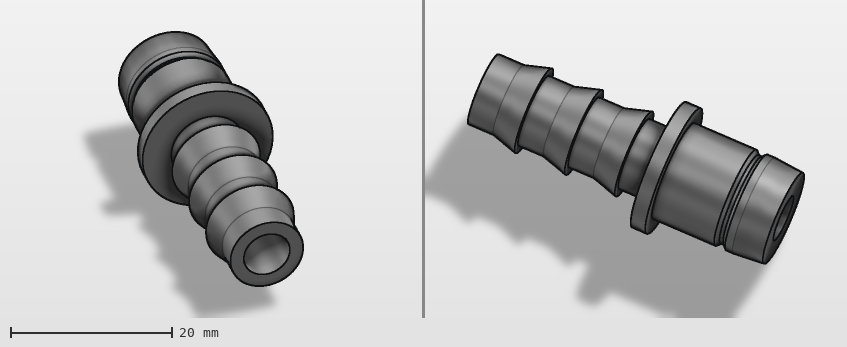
import cadquery as cq
import math


plug_diameter = 13.0
plug_length = 15.0
lead_in_length = 4.0
lead_in_angle = 5.0

groove_start = 5.0
groove_depth = 0.5
groove_floor_width = 0.5

flange_diameter = 17.0
flange_width = 2.0

total_length = 41.0
tail_diameter = 9.5
barb_diameter = 11.5
barb_count = 3

bore_diameter = 6.0

plug_radius = plug_diameter / 2
flange_radius = flange_diameter / 2
tail_radius = tail_diameter / 2
barb_radius = barb_diameter / 2
nose_radius = plug_radius - lead_in_length * math.tan(math.radians(lead_in_angle))

tail_start = plug_length + flange_width
tail_stretch = (total_length - tail_start) / (2 * barb_count + 1)


def plug_profile():
    """Outline of the plug as (x, radius) points, from the bore axis to the flange."""
    floor_radius = plug_radius - groove_depth
    floor_start = groove_start + groove_depth
    floor_end = floor_start + groove_floor_width
    groove_end = floor_end + groove_depth
    return [
        (0, 0),
        (0, nose_radius),
        (lead_in_length, plug_radius),
        (groove_start, plug_radius),
        (floor_start, floor_radius),
        (floor_end, floor_radius),
        (groove_end, plug_radius),
        (plug_length, plug_radius),
    ]


def flange_profile():
    """Outer rim of the flange as (x, radius) points."""
    return [(plug_length, flange_radius), (tail_start, flange_radius)]


def tail_profile():
    """Outline of the barbed hose tail as (x, radius) points, ending on the axis."""
    points = [(tail_start, tail_radius)]
    for barb in range(barb_count):
        barb_start = tail_start + (2 * barb + 1) * tail_stretch
        points.append((barb_start, tail_radius))
        points.append((barb_start, barb_radius))
        points.append((barb_start + tail_stretch, tail_radius))
    points.append((total_length, tail_radius))
    points.append((total_length, 0))
    return points


def make_body():
    outline = plug_profile() + flange_profile() + tail_profile()
    return cq.Workplane("XZ").polyline(outline).close().revolve(360, (0, 0, 0), (1, 0, 0))


def make_bore():
    return cq.Workplane("YZ").circle(bore_diameter / 2).extrude(total_length)


result = make_body().cut(make_bore())